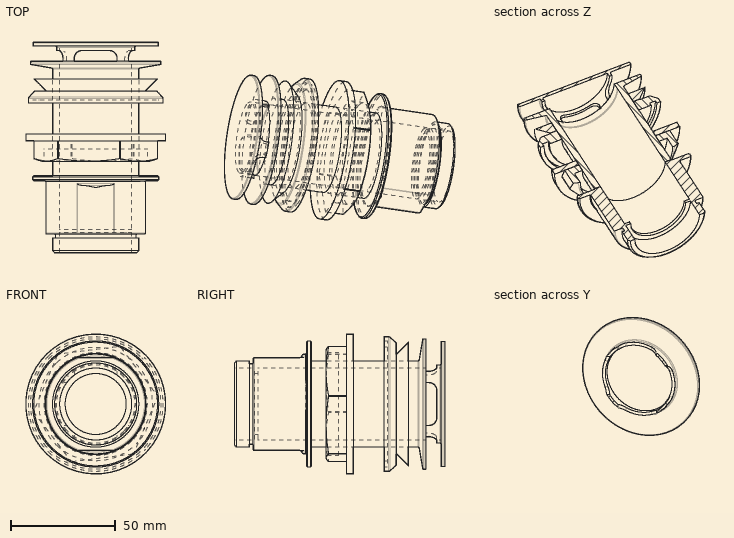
import cadquery as cq
import math

total_length = 100.3
tube_radius = 20.6
bore_radius = 17.2
edge_round = 0.4

cap_radius = 29.9
cap_thickness = 1.9
cap_ring_radius = 18.7
cap_ring_height = 2.1
cap_ring_neck = 0.5
window_half_width = 10.1
window_round = 3.5

flange_top = 91.3
flange_radius = 31.1
flange_rim = 1.6
flange_cone_height = 1.7
flange_neck = 0.5

gasket_top = 82.8
gasket_top_radius = 29.5
ring_top = 77.1
ring_bottom = 71.3
ring_radius = 32.1
ring_top_radius = 29.1
ring_bevel_height = 3.3
ring_edge_round = 1.0
groove_inner_radius = 27.1
groove_outer_radius = 30.0
groove_depth = 1.5

washer_radius = 33.35
washer_top = 56.7
washer_bottom = 53.4
nut_bottom = 43.5
nut_flats = 51.7
nut_corner_radius = 29.7
nut_face_radius = 25.5
nut_bevel_height = 1.3
nut_recess_radius = 24.6
nut_recess_depth = 6.0
nut_turn = 7.2

tail_top = 36.7
tail_flange_radius = 30.1
tail_flange_thickness = 2.4
tail_flange_chamfer = 0.6
tail_neck = 0.4
barrel_radius = 23.8
barrel_bottom = 8.9
barrel_round = 0.5
flat_edge_round = 0.8
flat_distance = 22.12
flat_end = 31.1
collar_curve_length = 2.0
outlet_length = 7.1
outlet_chamfer = 1.0
outlet_groove_radius = 19.3
outlet_neck = 0.3
ledge_radius = 14.5
ledge_bottom = 9.6
ledge_thickness = 1.5


def turned(points):
    """Solid of revolution about the Y axis from a closed outline of (radius, y) points."""
    return cq.Workplane("XY").polyline(points).close().revolve(360, (0, 0), (0, 1))


def disc(radius, bottom, top):
    """Solid cylinder on the Y axis between two heights."""
    return turned([(0, bottom), (radius, bottom), (radius, top), (0, top)])


def tube(outer, inner, bottom, top):
    """Hollow cylinder on the Y axis between two heights."""
    return turned([(inner, bottom), (outer, bottom), (outer, top), (inner, top)])


def neck_fillet(radius, height, size, inner):
    """Concave fillet ring below a face at the given height, around a cylinder of the given radius."""
    corner = size * (1 - math.sqrt(0.5))
    return (
        cq.Workplane("XY")
        .moveTo(inner, height)
        .lineTo(radius + size, height)
        .threePointArc((radius + corner, height - corner), (radius, height - size))
        .lineTo(inner, height - size)
        .close()
        .revolve(360, (0, 0), (0, 1))
    )


def make_cap():
    disc_bottom = total_length - cap_thickness
    window_top = disc_bottom - cap_ring_height
    window_height = window_top - flange_top
    cover = disc(cap_radius, disc_bottom, total_length).edges().fillet(edge_round)
    ring = tube(cap_ring_radius, bore_radius, flange_top, disc_bottom)
    window = (
        cq.Workplane("XY")
        .box(2 * window_half_width, window_height, 2 * cap_radius)
        .edges("|Z and >Y")
        .fillet(window_round)
        .translate((0, flange_top + window_height / 2, 0))
    )
    for angle in (0, 90):
        ring = ring.cut(window.rotate((0, 0, 0), (0, 1, 0), angle))
    neck = neck_fillet(cap_ring_radius, disc_bottom, cap_ring_neck, bore_radius)
    return cover.union(ring).union(neck)


def make_threaded_tube():
    rim_bottom = flange_top - flange_rim
    cone_bottom = rim_bottom - flange_cone_height
    flange = turned([
        (bore_radius, flange_top),
        (flange_radius, flange_top),
        (flange_radius, rim_bottom),
        (tube_radius + flange_neck, cone_bottom),
        (bore_radius, cone_bottom),
    ])
    flange = flange.edges(cq.selectors.RadiusNthSelector(-1)).fillet(edge_round)
    neck = neck_fillet(tube_radius, cone_bottom, flange_neck, bore_radius)
    pipe = tube(tube_radius, bore_radius, tail_top, cone_bottom)
    return pipe.union(flange).union(neck)


def make_gasket():
    bottom_radius = gasket_top_radius - (gasket_top - ring_top)
    return turned([
        (tube_radius, ring_top),
        (bottom_radius, ring_top),
        (gasket_top_radius, gasket_top),
        (tube_radius, gasket_top),
    ])


def make_retaining_ring():
    bevel_start = ring_top - ring_bevel_height
    ring = turned([
        (tube_radius, ring_bottom),
        (ring_radius, ring_bottom),
        (ring_radius, bevel_start),
        (ring_top_radius, ring_top),
        (tube_radius, ring_top),
    ])
    ring = ring.faces("%CONE").edges().fillet(ring_edge_round)
    groove = tube(groove_outer_radius, groove_inner_radius, ring_bottom, ring_bottom + groove_depth)
    return ring.cut(groove)


def make_washer():
    return tube(washer_radius, tube_radius, washer_bottom, washer_top)


def make_nut():
    corner_distance = nut_flats / math.cos(math.radians(30))
    hexagon = (
        cq.Workplane("XZ", origin=(0, washer_bottom, 0))
        .polygon(6, corner_distance)
        .extrude(washer_bottom - nut_bottom)
        .rotate((0, 0, 0), (0, 1, 0), -nut_turn)
    )
    envelope = turned([
        (tube_radius, nut_bottom),
        (nut_face_radius, nut_bottom),
        (nut_corner_radius, nut_bottom + nut_bevel_height),
        (nut_corner_radius, washer_bottom),
        (tube_radius, washer_bottom),
    ])
    recess = disc(nut_recess_radius, nut_bottom, nut_bottom + nut_recess_depth)
    return hexagon.intersect(envelope).cut(recess)


def make_flat_collar(top):
    """Collar that ends the wrench flats: an S-curve from the barrel radius in to the flats."""
    middle = ((barrel_radius + flat_distance) / 2, flat_end + collar_curve_length / 2)
    return (
        cq.Workplane("XY")
        .moveTo(0, top)
        .lineTo(barrel_radius, top)
        .lineTo(barrel_radius, flat_end + collar_curve_length)
        .tangentArcPoint(middle, relative=False)
        .tangentArcPoint((flat_distance, flat_end), relative=False)
        .lineTo(0, flat_end)
        .close()
        .revolve(360, (0, 0), (0, 1))
    )


def make_barrel(top):
    """Cylinder with two wrench flats and rounded edges."""
    barrel = disc(barrel_radius, barrel_bottom, top)
    between_flats = cq.Workplane("XY").box(
        2 * barrel_radius, top - barrel_bottom, 2 * flat_distance
    ).translate((0, (top + barrel_bottom) / 2, 0))
    barrel = barrel.intersect(between_flats).edges("|Y").edges("<X or >X").fillet(flat_edge_round)
    barrel = barrel.faces("<Y").edges().fillet(barrel_round)
    return barrel.union(make_flat_collar(top))


def make_tail():
    flange_bottom = tail_top - tail_flange_thickness
    flange = disc(tail_flange_radius, flange_bottom, tail_top).edges().chamfer(tail_flange_chamfer)
    neck = neck_fillet(barrel_radius, flange_bottom, tail_neck, 0)
    groove = disc(outlet_groove_radius, outlet_length, barrel_bottom)
    outlet_fillet = neck_fillet(outlet_groove_radius, barrel_bottom, outlet_neck, 0)
    outlet = disc(tube_radius, 0, outlet_length).faces("<Y").chamfer(outlet_chamfer)
    body = make_barrel(flange_bottom)
    for section in (flange, neck, groove, outlet_fillet, outlet):
        body = body.union(section)
    ledge_top = ledge_bottom + ledge_thickness
    body = body.cut(disc(bore_radius, 0, ledge_bottom))
    body = body.cut(disc(ledge_radius, ledge_bottom, ledge_top))
    return body.cut(disc(bore_radius, ledge_top, tail_top))


cap = make_cap()
threaded_tube = make_threaded_tube()
gasket = make_gasket()
retaining_ring = make_retaining_ring()
washer = make_washer()
nut = make_nut()
tail = make_tail()

bodies = [cap, threaded_tube, gasket, retaining_ring, washer, nut, tail]
result = cq.Compound.makeCompound([body.val() for body in bodies])